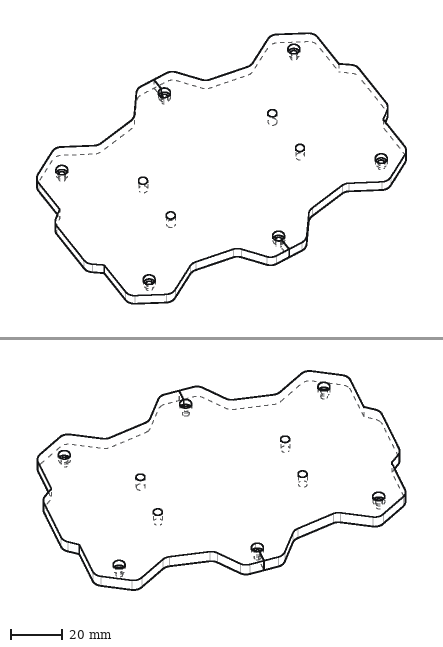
import cadquery as cq

WIDTH = 97.4
LENGTH = 140.4
THICKNESS = 5.5
CORNER_RADIUS = 4.2

TAB_END = (11.8, LENGTH / 2)
TAB_ROOT = (16.0, 64.9)
LOBE_SHOULDER = (33.7, TAB_ROOT[1])
LOBE_TIP = (42.3, 50.1)
WAIST = (33.8, 35.5)
EAR_ROOT = (37.2, 16.7)
EAR_CORNER = (WIDTH / 2, 8.0)
QUADRANT = [TAB_END, TAB_ROOT, LOBE_SHOULDER, LOBE_TIP, WAIST, EAR_ROOT, EAR_CORNER]
ROUNDED_CORNERS = [TAB_END, LOBE_SHOULDER, LOBE_TIP, WAIST, EAR_ROOT, EAR_CORNER]

LOBE_HOLE = (31.5, 53.9)
EAR_HOLE = (41.1, 0.0)
SCREW_DIAMETER = 2.7
COUNTERBORE_DIAMETER = 4.6
COUNTERBORE_DEPTH = THICKNESS / 2

INNER_HOLE = (10.0, 30.0)
INNER_DIAMETER = 3.5

SLIT_WIDTH = 0.07


def mirrored(point):
    """The point's images in all four quadrants."""
    x, y = point
    return [(x, y), (x, -y), (-x, -y), (-x, y)]


def round_corners(body, corners, radius):
    """Round the upright edges at the given corners in every quadrant."""
    for corner in corners:
        for x, y in mirrored(corner):
            edge = cq.selectors.NearestToPointSelector((x, y, THICKNESS / 2))
            body = body.edges("|Z").edges(edge).fillet(radius)
    return body


def make_plate():
    right = QUADRANT + [(x, -y) for x, y in reversed(QUADRANT)]
    left = [(-x, -y) for x, y in right]
    plate = cq.Workplane("XY").polyline(right + left).close().extrude(THICKNESS)
    return round_corners(plate, ROUNDED_CORNERS, CORNER_RADIUS)


def cut_holes(body):
    ear_holes = [EAR_HOLE, (-EAR_HOLE[0], EAR_HOLE[1])]
    screw_holes = mirrored(LOBE_HOLE) + ear_holes
    top = cq.Workplane("XY", origin=(0, 0, THICKNESS))
    screws = top.pushPoints(screw_holes).circle(SCREW_DIAMETER / 2).extrude(-THICKNESS)
    bores = top.pushPoints(screw_holes).circle(COUNTERBORE_DIAMETER / 2).extrude(-COUNTERBORE_DEPTH)
    inner = top.pushPoints(mirrored(INNER_HOLE)).circle(INNER_DIAMETER / 2).extrude(-THICKNESS)
    return body.cut(screws).cut(bores).cut(inner)


def cut_slits(body):
    length = WIDTH / 2 - EAR_HOLE[0]
    middle = EAR_HOLE[0] + length / 2
    slits = (
        cq.Workplane("XY")
        .pushPoints([(middle, 0), (-middle, 0)])
        .rect(length, SLIT_WIDTH)
        .extrude(THICKNESS)
    )
    return body.cut(slits)


result = cut_slits(cut_holes(make_plate()))